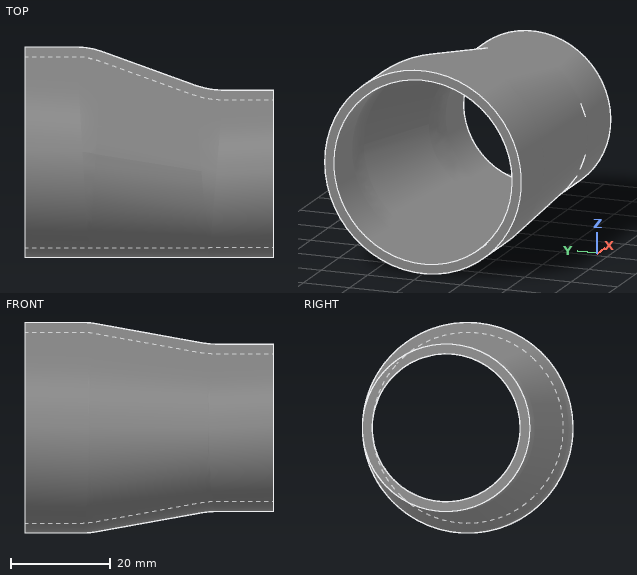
import cadquery as cq
import math


length = 50.0
large_diameter = 42.4
small_diameter = 33.7
wall = 2.0

cone_start = 13.0
cone_end = 37.0

convex_radius = 15.0
concave_radius = 17.0

bend_fade = 0.1

flat_side = -large_diameter / 2
slope_angle = math.atan((large_diameter - small_diameter) / (cone_end - cone_start))


def sharp_diameter(x):
    """Outer diameter at X of the reducer before its bends are rounded."""
    share = min(max((x - cone_start) / (cone_end - cone_start), 0), 1)
    return large_diameter + share * (small_diameter - large_diameter)


def section(bottom_x, top_x, top_y, half_height, angle, inset):
    """Ellipse leaning from the -Y side to the +Y side, moved inward by inset.

    The +Y end moves along the wall normal, where the wall slopes by angle.
    """
    bottom = cq.Vector(bottom_x, flat_side + inset, 0)
    top = cq.Vector(top_x - inset * math.sin(angle), top_y - inset * math.cos(angle), 0)
    span = top - bottom
    normal = span.cross(cq.Vector(0, 0, 1))
    return cq.Wire.makeEllipse(
        span.Length / 2, half_height - inset, (top + bottom) * 0.5, normal, span
    )


def round_section(x, inset):
    """Circle square to X on a straight end."""
    diameter = sharp_diameter(x)
    return section(x, x, flat_side + diameter, diameter / 2, 0, inset)


def leaning_section(bottom_x, top_x, angle, inset):
    """Leaning cut through a straight end or the cone."""
    top_y = flat_side + sharp_diameter(top_x)
    middle_x = (bottom_x + top_x) / 2
    middle_y = (flat_side + top_y) / 2
    radius = sharp_diameter(middle_x) / 2
    half_height = math.sqrt(radius**2 - (middle_y - flat_side - radius) ** 2)
    return section(bottom_x, top_x, top_y, half_height, angle, inset)


def bend_sections(corner_x, radius, cone_side, inset):
    """Start, middle and end sections of a bend, listed from straight end to cone.

    cone_side is 1 where the cone lies toward +X of the corner, -1 toward -X.
    """
    tangent = radius * math.tan(slope_angle / 2)
    straight_x = corner_x - cone_side * tangent
    cone_x = corner_x + cone_side * tangent * math.cos(slope_angle)

    half_angle = slope_angle / 2
    middle_x = straight_x + cone_side * radius * math.sin(half_angle)
    arc_drop = cone_side * radius * (1 - math.cos(half_angle))
    diameter = sharp_diameter(corner_x)
    half_height = diameter / 2 - arc_drop / 4

    return [
        leaning_section(corner_x - cone_side * bend_fade, straight_x, 0, inset),
        section(corner_x, middle_x, flat_side + diameter - arc_drop, half_height, half_angle, inset),
        leaning_section(corner_x + cone_side * bend_fade, cone_x, slope_angle, inset),
    ]


def reducer_body(inset):
    """Solid bounded by the outer skin moved inward by inset."""
    convex = bend_sections(cone_start, convex_radius, 1, inset)
    concave = bend_sections(cone_end, concave_radius, -1, inset)[::-1]
    pieces = [
        cq.Solid.makeLoft([round_section(0, inset), convex[0]], True),
        cq.Solid.makeLoft(convex),
        cq.Solid.makeLoft([convex[-1], concave[0]], True),
        cq.Solid.makeLoft(concave),
        cq.Solid.makeLoft([concave[-1], round_section(length, inset)], True),
    ]
    body = cq.Workplane(pieces[0])
    for piece in pieces[1:]:
        body = body.union(piece)
    return body


result = reducer_body(0).cut(reducer_body(wall))